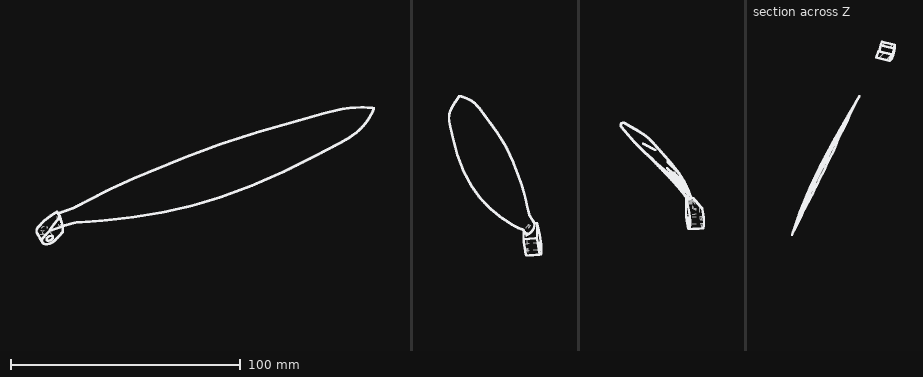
import cadquery as cq
import math


overall_length = 160

pin_diameter = 3.0
lug_width = 6.0
lug_radius = 3.7
lug_end_y = 6.2
lug_top_z = 8.5
lug_bottom_z = 1.3
flat_top_y = 0.2
crown_y = 3.4
crown_z = 7.2
heel_y = 5.1
bevel_top_x = 0.3
bevel_bottom_z = 5.1

shank_start_y = 6.0
root_y = 13.0
blade_tip_y = overall_length - lug_radius
tip_x = -0.2
tip_z = 7.7
tip_size = 0.2
shank_bulge = 0.18
root_bulge = 0.12
blade_bulge = 0.07
underside_fraction = 0.5

shank_start = (shank_start_y, -2.0, lug_top_z, 1.5, 3.2)
blade_root = (root_y, -1.1, 9.6, 1.8, 2.9)
blade_stations = [
    (24.8, -2.2, 10.9, 3.7, 0.3),
    (46.4, -4.2, 11.8, 7.7, -1.8),
    (63.8, -5.3, 11.8, 10.0, -2.2),
    (86.9, -6.0, 11.7, 11.5, -1.3),
    (110.0, -5.8, 10.9, 10.9, 0.5),
    (133.1, -4.8, 10.0, 8.8, 2.9),
    (144.8, -3.8, 9.1, 6.9, 4.3),
    (152.0, -2.0, 8.3, 3.4, 5.8),
]
blade_tip = (blade_tip_y, tip_x, tip_z, tip_x + tip_size, tip_z - tip_size)


def lens_section(station, upper_bulge, lower_bulge):
    """Two-arc section across a chord; bulges are fractions of the chord length."""
    y, left_x, left_z, right_x, right_z = station
    run_x = right_x - left_x
    run_z = right_z - left_z
    mid_x = (left_x + right_x) / 2
    mid_z = (left_z + right_z) / 2
    left = cq.Vector(left_x, y, left_z)
    right = cq.Vector(right_x, y, right_z)
    crest = cq.Vector(mid_x - run_z * upper_bulge, y, mid_z + run_x * upper_bulge)
    belly = cq.Vector(mid_x + run_z * lower_bulge, y, mid_z - run_x * lower_bulge)
    upper = cq.Edge.makeThreePointArc(left, crest, right)
    lower = cq.Edge.makeThreePointArc(right, belly, left)
    return cq.Wire.assembleEdges([upper, lower])


def make_lug():
    """Hinge lug: round end, 45 degree sides and an upright shank face."""
    tangent = lug_radius * math.sqrt(0.5)
    side_offset = lug_radius * math.sqrt(2)
    profile = (
        cq.Workplane("YZ", origin=(-lug_width / 2, 0, 0))
        .moveTo(-tangent, tangent)
        .lineTo(flat_top_y, flat_top_y + side_offset)
        .threePointArc((crown_y, crown_z), (lug_end_y, lug_top_z))
        .lineTo(lug_end_y, lug_bottom_z)
        .lineTo(heel_y, heel_y - side_offset)
        .lineTo(tangent, -tangent)
        .threePointArc((-tangent, -tangent), (-tangent, tangent))
        .close()
    )
    lug = profile.extrude(lug_width)
    bevel = (
        cq.Workplane("XZ", origin=(0, lug_end_y, 0))
        .moveTo(bevel_top_x, lug_top_z)
        .lineTo(lug_width / 2, bevel_bottom_z)
        .lineTo(lug_width / 2, lug_top_z)
        .close()
        .extrude(lug_end_y)
    )
    pin_hole = cq.Workplane("YZ").circle(pin_diameter / 2).extrude(lug_width, both=True)
    return lug.cut(bevel).cut(pin_hole)


def make_shank():
    """Short neck between the lug and the blade root."""
    sections = [
        lens_section(shank_start, shank_bulge, shank_bulge),
        lens_section(blade_root, root_bulge, root_bulge),
    ]
    return cq.Workplane(cq.Solid.makeLoft(sections, True))


def make_blade():
    """Thin twisted blade with a domed upper face and a flatter underside."""
    sections = [lens_section(blade_root, root_bulge, root_bulge)]
    for station in blade_stations + [blade_tip]:
        sections.append(lens_section(station, blade_bulge, blade_bulge * underside_fraction))
    return cq.Workplane(cq.Solid.makeLoft(sections, False))


result = make_lug().union(make_shank()).union(make_blade())